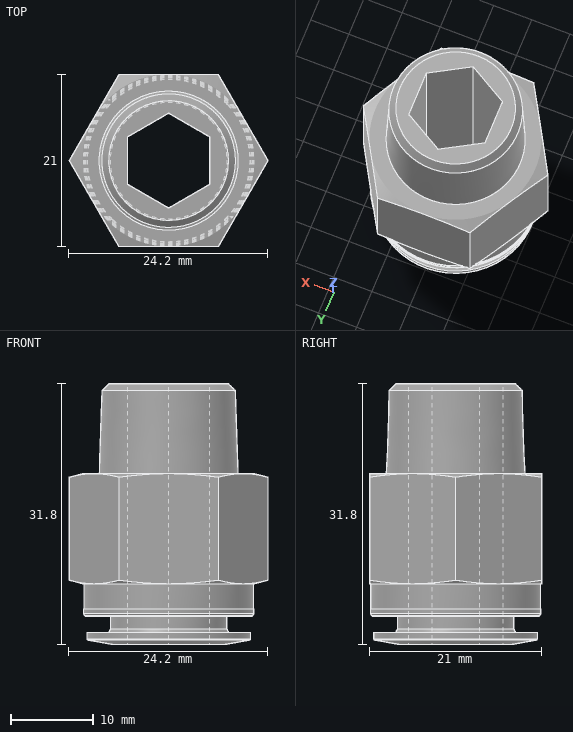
import cadquery as cq
import math

total_height = 31.8
rim_bevel_top = 0.55
flange_edge_break_top = 0.7
flange_top = 1.5
neck_foot_top = 1.9
collar_bottom = 3.45
collar_end_break_top = 3.53
collar_chamfer_top = 3.8
collar_band_top = 4.35
hex_bottom = 7.4
hex_top = 20.83
tip_chamfer_height = 0.85

ring_face_diameter = 13.67
flange_bevel_diameter = 19.8
flange_diameter = 19.97
neck_diameter = 14.2
collar_end_diameter = 20.3
collar_end_break_diameter = 20.5
collar_band_diameter = 20.8
collar_diameter = 20.7
thread_base_diameter = 16.95
thread_end_diameter = 16.28
tip_diameter = 14.55

nut_flats = 21.0
socket_flats = 10.0
nut_chamfer_angle = 15.0


def across_corners(flats):
    return flats / math.cos(math.radians(30))


def revolved(outline):
    """Turn a list of (diameter, height) points into a solid around Z."""
    points = [(0, outline[0][1])]
    points += [(diameter / 2, height) for diameter, height in outline]
    points.append((0, outline[-1][1]))
    return cq.Workplane("XZ").polyline(points).close().revolve(360, (0, 0), (0, 1))


def release_ring_and_collar():
    """Flanged push ring on its neck, below the round collar."""
    neck_foot_diameter = neck_diameter + (neck_foot_top - flange_top)
    return revolved([
        (ring_face_diameter, 0),
        (flange_bevel_diameter, rim_bevel_top),
        (flange_diameter, flange_edge_break_top),
        (flange_diameter, flange_top),
        (neck_foot_diameter, flange_top),
        (neck_diameter, neck_foot_top),
        (neck_diameter, collar_bottom),
        (collar_end_diameter, collar_bottom),
        (collar_end_break_diameter, collar_end_break_top),
        (collar_band_diameter, collar_chamfer_top),
        (collar_band_diameter, collar_band_top),
        (collar_diameter, collar_band_top),
        (collar_diameter, hex_bottom),
    ])


def nut():
    """Hexagon with corners on X, its ends chamfered by cones."""
    corner_diameter = across_corners(nut_flats)
    drop = (corner_diameter - nut_flats) / 2 * math.tan(math.radians(nut_chamfer_angle))
    prism = (
        cq.Workplane("XY")
        .workplane(offset=hex_bottom)
        .polygon(6, corner_diameter)
        .extrude(hex_top - hex_bottom)
    )
    envelope = revolved([
        (nut_flats, hex_bottom),
        (corner_diameter, hex_bottom + drop),
        (corner_diameter, hex_top - drop),
        (nut_flats, hex_top),
    ])
    return prism.intersect(envelope)


def tapered_thread():
    """Plain tapered pipe end with a chamfered tip."""
    return revolved([
        (thread_base_diameter, hex_top),
        (thread_end_diameter, total_height - tip_chamfer_height),
        (tip_diameter, total_height),
    ])


def hex_socket():
    """Hexagonal through hole with corners on Y."""
    return (
        cq.Workplane("XY")
        .polygon(6, across_corners(socket_flats))
        .extrude(total_height)
        .rotate((0, 0, 0), (0, 0, 1), 30)
    )


result = release_ring_and_collar().union(nut()).union(tapered_thread()).cut(hex_socket())